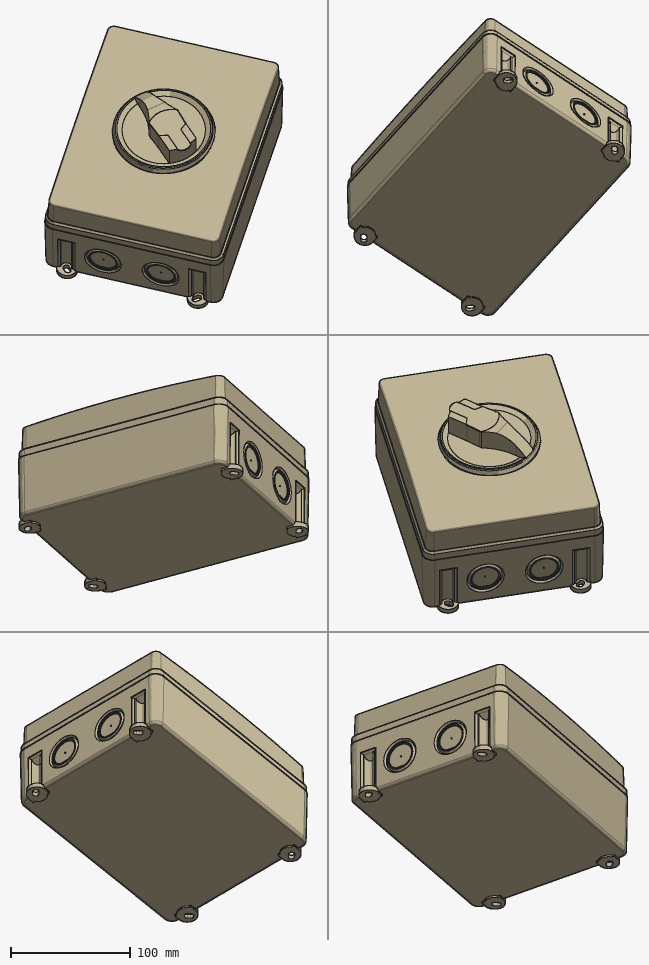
import cadquery as cq
import math

width = 156.0
depth = 200.1
total_length = 212.0
corner_radius = 9.1
floor_z = 1.7
parting_z = 57.9
base_draft = 1.0
floor_edge_radius = 2.5
ledge_step = 0.6
flange_top_z = 66.0
flange_chamfer = 1.7
lid_step = 2.5
lid_draft = 2.0
crown_z = 91.4
roof_radius = 1166.0
roof_edge_radius = 0.8

foot_x = 57.0
foot_width = 18.0
foot_height = 4.5
foot_inner_y = 91.2
slot_width = 5.3
slot_length = 8.0
slot_center_y = 99.0
slot_shift = 0.5
slot_angle = 45.0
channel_width = 15.0
channel_top_z = 44.7
channel_bevel = 2.1
channel_bevel_depth = 1.3
channel_depth = 6.1
groove_half_width = 4.7
groove_shift = 0.6

knockout_x = 25.2
knockout_z = 28.0
knockout_outer_radius = 16.1
knockout_floor_radius = 14.6
knockout_inner_radius = 13.0
knockout_depth = 1.7
step_radius = 12.5
step_flat = 12.0
step_depth = 0.6
disc_radius = 11.5
disc_flat = 10.5
disc_depth = 1.5
center_mark_radius = 0.5
center_mark_depth = 2.1
cutter_overrun = 2.1

seat_z = 90.3
ring_base_radius = 43.5
ring_shoulder_radius = 41.5
ring_outer_top_radius = 40.7
ring_inner_top_radius = 39.5
ring_top_z = 95.0
ring_shoulder_z = 94.1
dish_radius = 35.0
dish_z = 92.9
handle_top_z = 111.7
grip_top_z = 111.5
grip_angle = 135.0
grip_half_width = 13.0
grip_shoulder_half_width = 13.5
grip_straight_end = -13.8
shoulder_end = -1.3
neck_start = 1.0
neck_flat_end = 13.0
neck_mid_half_width = 8.3
tip_start = 30.5
tip_half_width = 6.0
tip_end = 40.5
slope_mid = 27.5
slope_mid_z = 105.8
pad_thickness = 1.0
pad_half_width = 13.8
pad_arc_end = 0.6
pad_nose = 6.0
pad_side_end = -14.8
pad_tongue_start = -18.2
pad_tongue_half_width = 6.1
pad_tongue_end = -35.5
pad_tongue_tip = -38.2


def rounded_block(inset, start_z, height, draft):
    """Rounded rectangle extruded from start_z, inset from the base rim; a negative height goes down."""
    outline = (
        cq.Sketch()
        .rect(width - 2 * inset, depth - 2 * inset)
        .vertices()
        .fillet(corner_radius - inset)
    )
    return cq.Workplane("XY", origin=(0, 0, start_z)).placeSketch(outline).extrude(height, taper=draft)


def make_base():
    base = rounded_block(0, parting_z, floor_z - parting_z, base_draft)
    return base.faces("<Z").edges().fillet(floor_edge_radius)


def make_lid():
    flange = rounded_block(ledge_step, parting_z, flange_top_z - parting_z, 0)
    flange = flange.faces(">Z").edges().chamfer(flange_chamfer)
    wall = rounded_block(lid_step, parting_z, crown_z - parting_z, lid_draft)
    roof = (
        cq.Workplane("YZ", origin=(-width / 2, 0, 0))
        .center(0, crown_z - roof_radius)
        .circle(roof_radius)
        .extrude(width)
    )
    wall = wall.intersect(roof)
    wall = wall.faces(">Z").edges().fillet(roof_edge_radius)
    return flange.union(wall)


def make_foot():
    """Foot at +X on the -Y end."""
    radius = foot_width / 2
    straight = total_length / 2 - radius - foot_inner_y
    bar = (
        cq.Workplane("XY")
        .center(foot_x, -foot_inner_y - straight / 2)
        .rect(foot_width, straight)
        .extrude(foot_height)
    )
    end = cq.Workplane("XY").center(foot_x, radius - total_length / 2).circle(radius).extrude(foot_height)
    return bar.union(end)


def wall_plane(x, z):
    """Sketch plane on the -Y end wall at height z, its normal pointing out of the box."""
    y = -depth / 2 + (parting_z - z) * math.tan(math.radians(base_draft))
    return cq.Workplane("XZ", origin=(x, y, z))


def make_channel():
    """Screwdriver channel above the foot at +X on the -Y end, with its screw slot."""
    height = channel_top_z - foot_height
    mouth = wall_plane(foot_x, foot_height)
    inner_half = channel_width / 2 - channel_bevel
    bevel = (
        mouth.moveTo(0, height / 2)
        .rect(channel_width, height)
        .workplane(offset=-channel_bevel_depth)
        .moveTo(0, (height - channel_bevel) / 2)
        .rect(2 * inner_half, height - channel_bevel)
        .loft()
    )
    wall_y = mouth.plane.origin.y
    lip = cq.Workplane("XY").box(channel_width, cutter_overrun, height, centered=(True, False, False))
    lip = lip.translate((foot_x, wall_y - cutter_overrun, foot_height))
    back_y = wall_y + channel_depth
    bevel_y = wall_y + channel_bevel_depth
    groove = (
        cq.Workplane("XY", origin=(foot_x + groove_shift, 0, foot_height))
        .moveTo(-groove_half_width, bevel_y)
        .threePointArc((0, back_y), (groove_half_width, bevel_y))
        .close()
        .extrude(height)
    )
    roof_z = channel_top_z - channel_bevel
    below_roof = (
        cq.Workplane("YZ", origin=(foot_x - channel_width / 2, 0, 0))
        .moveTo(bevel_y, foot_height)
        .lineTo(bevel_y, roof_z)
        .lineTo(back_y, roof_z - (back_y - bevel_y))
        .lineTo(back_y, foot_height)
        .close()
        .extrude(channel_width)
    )
    slot = (
        cq.Workplane("XY")
        .center(foot_x - slot_shift, -slot_center_y)
        .slot2D(slot_length, slot_width, slot_angle)
        .extrude(foot_height)
    )
    return bevel.union(lip).union(groove.intersect(below_roof)).union(slot)


def disc_cutter(radius, cut_depth):
    """Round cutter along Y that sinks to cut_depth in a wall at Y = 0."""
    return cq.Workplane("XZ", origin=(0, cut_depth, 0)).circle(radius).extrude(cut_depth + cutter_overrun)


def flattened_cutter(radius, flat, cut_depth):
    """Round cutter with a horizontal flat below its centre."""
    above_flat = cq.Workplane("XY").box(2 * radius, 4 * cutter_overrun, 2 * radius)
    return disc_cutter(radius, cut_depth).intersect(above_flat.translate((0, 0, radius - flat)))


def make_knockout():
    """Ring groove and stepped centre disc of the knockout at +X on the -Y end."""
    ring = (
        cq.Workplane("XY")
        .moveTo(knockout_outer_radius, -cutter_overrun)
        .lineTo(knockout_outer_radius, 0)
        .lineTo(knockout_floor_radius, knockout_depth)
        .lineTo(knockout_inner_radius, 0)
        .lineTo(knockout_inner_radius, -cutter_overrun)
        .close()
        .revolve(360, (0, 0, 0), (0, 1, 0))
    )
    step = flattened_cutter(step_radius, step_flat, step_depth)
    disc = flattened_cutter(disc_radius, disc_flat, disc_depth)
    mark = disc_cutter(center_mark_radius, center_mark_depth)
    cutter = ring.union(step).union(disc).union(mark)
    cutter = cutter.rotate((0, 0, 0), (1, 0, 0), base_draft)
    return cutter.translate(wall_plane(knockout_x, knockout_z).plane.origin.toTuple())


def at_four_corners(tool):
    """The tool and its mirror images about the two vertical mid-planes."""
    pair = [tool, tool.mirror("YZ")]
    return pair + [copy.mirror("XZ") for copy in pair]


def make_ring():
    return (
        cq.Workplane("XZ")
        .moveTo(0, seat_z)
        .lineTo(ring_base_radius, seat_z)
        .lineTo(ring_shoulder_radius, ring_shoulder_z)
        .lineTo(ring_outer_top_radius, ring_top_z)
        .lineTo(ring_inner_top_radius, ring_top_z)
        .lineTo(dish_radius, dish_z)
        .lineTo(0, dish_z)
        .close()
        .revolve(360, (0, 0, 0), (0, 1, 0))
    )


def make_grip():
    """Grip along +X, from its round back end to the sloping tip."""
    height = grip_top_z - seat_z
    bar = (
        cq.Workplane("XY", origin=(0, 0, seat_z))
        .moveTo(-dish_radius, -grip_half_width)
        .lineTo(grip_straight_end, -grip_half_width)
        .lineTo(shoulder_end, -grip_shoulder_half_width)
        .lineTo(neck_start, -grip_shoulder_half_width)
        .threePointArc((neck_flat_end, -neck_mid_half_width), (tip_start, -tip_half_width))
        .lineTo(tip_end, -tip_half_width)
        .lineTo(tip_end, tip_half_width)
        .lineTo(tip_start, tip_half_width)
        .threePointArc((neck_flat_end, neck_mid_half_width), (neck_start, grip_shoulder_half_width))
        .lineTo(shoulder_end, grip_shoulder_half_width)
        .lineTo(grip_straight_end, grip_half_width)
        .lineTo(-dish_radius, grip_half_width)
        .close()
        .extrude(height)
    )
    profile = (
        cq.Workplane("XZ", origin=(0, dish_radius, 0))
        .moveTo(-dish_radius, seat_z)
        .lineTo(-dish_radius, grip_top_z)
        .lineTo(neck_flat_end, grip_top_z)
        .threePointArc((slope_mid, slope_mid_z), (tip_end, ring_top_z))
        .lineTo(tip_end, seat_z)
        .close()
        .extrude(2 * dish_radius)
    )
    round_back = cq.Workplane("XY", origin=(0, 0, seat_z)).circle(dish_radius).extrude(height)
    front = cq.Workplane("XY", origin=(tip_end / 2, 0, seat_z)).rect(tip_end, 2 * dish_radius).extrude(height)
    plan = round_back.union(front)
    return bar.intersect(profile).intersect(plan)


def make_pad():
    """Thin pad on the grip, its tongue reaching past the back end."""
    return (
        cq.Workplane("XY", origin=(0, 0, handle_top_z - pad_thickness))
        .moveTo(pad_arc_end, -pad_half_width)
        .threePointArc((pad_nose, 0), (pad_arc_end, pad_half_width))
        .lineTo(pad_side_end, grip_half_width)
        .lineTo(pad_tongue_start, pad_tongue_half_width)
        .lineTo(pad_tongue_end, pad_tongue_half_width)
        .threePointArc((pad_tongue_tip, 0), (pad_tongue_end, -pad_tongue_half_width))
        .lineTo(pad_tongue_start, -pad_tongue_half_width)
        .lineTo(pad_side_end, -grip_half_width)
        .close()
        .extrude(pad_thickness)
    )


def make_handle():
    lever = make_grip().union(make_pad()).rotate((0, 0, 0), (0, 0, 1), grip_angle)
    return make_ring().union(lever)


def make_enclosure():
    enclosure = make_base().union(make_lid())
    for foot in at_four_corners(make_foot()):
        enclosure = enclosure.union(foot)
    for cutter in at_four_corners(make_channel()) + at_four_corners(make_knockout()):
        enclosure = enclosure.cut(cutter)
    return enclosure.cut(make_ring())


enclosure = make_enclosure()
handle = make_handle()

result = cq.Compound.makeCompound([enclosure.solids().val(), handle.solids().val()])